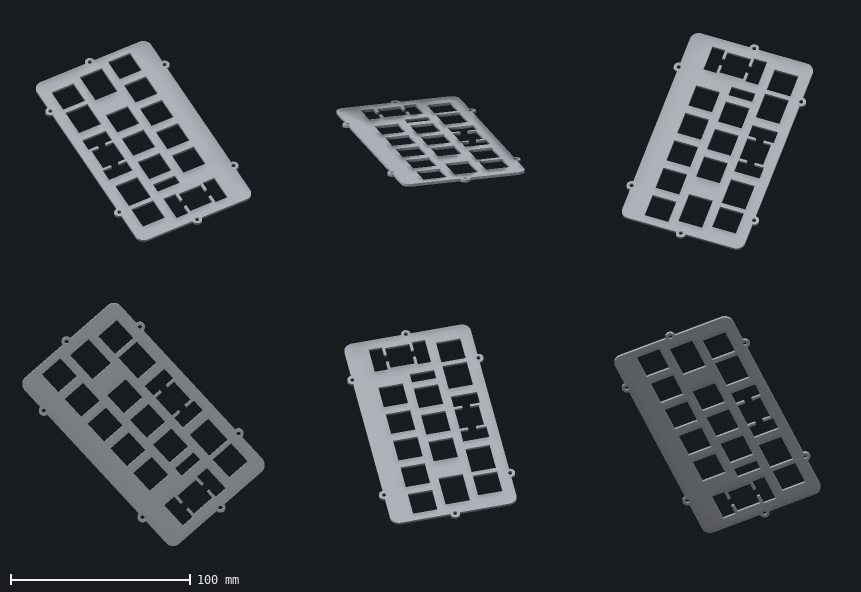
import cadquery as cq


outer_length = 133.8
outer_width = 77.6
thickness = 1.6
corner_radius = 5.0

tab_radius = 2.8
screw_hole_diameter = 2.3
long_edge_tab_spacing = 82.3
long_edge_tab_shift = -1.9
plate_length = outer_length - 2 * tab_radius
plate_width = outer_width - 2 * tab_radius

key_pitch = 19.05
switch_size = 14.0
middle_row_y = -3.1
top_row_y = middle_row_y + key_pitch
bottom_row_y = middle_row_y - key_pitch

top_row_first_key = -2.75
top_row_key_count = 5
middle_row_keys = (-1.0, 0.0, 1.0)
bottom_row_end_key = 2.5

wide_key_position = -2.5
wide_key_shift = 0.25
modifier_key_position = 1.5625
modifier_key_shift = 0.125

narrow_slot_position = 1.75
narrow_slot_width = 5.8

tall_key_x = 2.625 * key_pitch
tall_key_y = (top_row_y + middle_row_y) / 2
stabilizer_inner = 8.5
stabilizer_outer = 16.1
stabilizer_channel_width = 4.6
horizontal_stabilizer_top = switch_size / 2
horizontal_stabilizer_bottom = -8.0
vertical_stabilizer_half_width = 7.9


def box_between(x_min, x_max, y_min, y_max):
    """Block through the full plate thickness between the given sides."""
    return cq.Workplane("XY").box(
        x_max - x_min, y_max - y_min, thickness, centered=False
    ).translate((x_min, y_min, 0))


def key_cutout(x, y, width=switch_size, height=switch_size):
    """Rectangular opening centred on a key position."""
    return box_between(x - width / 2, x + width / 2, y - height / 2, y + height / 2)


def make_plate():
    """Rounded plate with drilled screw tabs on its edges."""
    half_length = plate_length / 2
    half_width = plate_width / 2
    tab_centers = [(-half_length, 0), (half_length, 0)]
    for side in (-1, 1):
        for end in (-1, 1):
            tab_x = long_edge_tab_shift + end * long_edge_tab_spacing / 2
            tab_centers.append((tab_x, side * half_width))

    plate = (
        cq.Workplane("XY")
        .rect(plate_length, plate_width)
        .extrude(thickness)
        .edges("|Z")
        .fillet(corner_radius)
    )
    tabs = cq.Workplane("XY").pushPoints(tab_centers).circle(tab_radius).extrude(thickness)
    holes = (
        cq.Workplane("XY")
        .pushPoints(tab_centers)
        .circle(screw_hole_diameter / 2)
        .extrude(thickness)
    )
    return plate.union(tabs).cut(holes)


def single_key_cutouts():
    """Openings for all keys that have no stabilizer."""
    cutouts = []
    for index in range(top_row_key_count):
        cutouts.append(key_cutout((top_row_first_key + index) * key_pitch, top_row_y))

    wide_key_width = switch_size + wide_key_shift * key_pitch
    cutouts.append(key_cutout(wide_key_position * key_pitch, middle_row_y, wide_key_width))
    for position in middle_row_keys:
        cutouts.append(key_cutout(position * key_pitch, middle_row_y))
    cutouts.append(key_cutout(narrow_slot_position * key_pitch, middle_row_y, narrow_slot_width))

    modifier_key_width = switch_size + modifier_key_shift * key_pitch
    for side in (-1, 1):
        cutouts.append(key_cutout(side * bottom_row_end_key * key_pitch, bottom_row_y))
        modifier_x = side * modifier_key_position * key_pitch
        cutouts.append(key_cutout(modifier_x, bottom_row_y, modifier_key_width))
    return cutouts


def horizontal_stabilized_cutouts(x, y):
    """Switch opening joined by a channel to stabilizer openings left and right."""
    y_min = y + horizontal_stabilizer_bottom
    y_max = y + horizontal_stabilizer_top
    return [
        key_cutout(x, y),
        key_cutout(x, y, 2 * stabilizer_outer, stabilizer_channel_width),
        box_between(x - stabilizer_outer, x - stabilizer_inner, y_min, y_max),
        box_between(x + stabilizer_inner, x + stabilizer_outer, y_min, y_max),
    ]


def vertical_stabilized_cutouts(x, y):
    """Switch opening joined by a channel to stabilizer openings above and below."""
    x_min = x - vertical_stabilizer_half_width
    x_max = x + vertical_stabilizer_half_width
    return [
        key_cutout(x, y),
        key_cutout(x, y, stabilizer_channel_width, 2 * stabilizer_outer),
        box_between(x_min, x_max, y - stabilizer_outer, y - stabilizer_inner),
        box_between(x_min, x_max, y + stabilizer_inner, y + stabilizer_outer),
    ]


result = make_plate()
all_cutouts = (
    single_key_cutouts()
    + horizontal_stabilized_cutouts(0, bottom_row_y)
    + vertical_stabilized_cutouts(tall_key_x, tall_key_y)
)
for cutout in all_cutouts:
    result = result.cut(cutout)